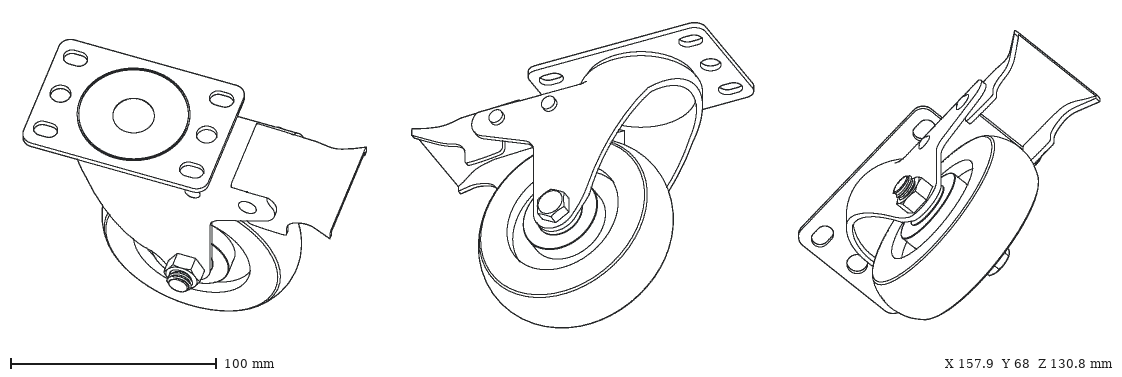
import math

import cadquery as cq


plate_top = 80.8
axle_x = 35.0

overrun = 1.6

plate_length = 95.0
plate_width = 65.0
plate_thickness = 3.0
plate_corner = 6.0
hole_x = 37.6
hole_diameter = 10.1
slot_y = 22.5
slot_length = 12.0
slot_width = 8.5
neck_radius = 27.5
neck_bottom = 74.0
groove_width = 0.8
groove_depth = 0.5
dish_radius = 21.3
dish_cone_radius = 17.5
dish_cone_drop = 0.5
dish_depth = 1.6
dish_floor_radius = 11.7
kingpin_radius = 10.1
kingpin_drop = 0.3
kingpin_round = 1.0

sheet = 3.0
skirt_radius = 30.0
skirt_top = neck_bottom
skirt_round = 0.8
web_top = 71.2
web_end_x = 64.7
step_top_radius = 29.4
step_foot_radius = 30.8
leg_inside = 19.7
leg_outside = leg_inside + sheet
skirt_blend = 12.6
web_edge_round = 2.4
arch_top_z = 67.3
arch_knee_x = -16.0
arch_knee_z = 54.8
leg_tip_x = axle_x + 0.5
leg_tip_z = 0.6
leg_tip_radius = 11.5
arm_angle = math.radians(23.4)
arm_corner = 7.9
nose_x = 71.7
nose_z = 63.5
nose_radius = 8.7

rivets = [(38.0, 62.5, 4.0, 1.0), (66.3, 63.0, 4.6, 1.5)]
rivet_dome = 1.7
rivet_tail_radius = 3.6
rivet_tail_height = 2.4

pedal_sheet = 2.4
pedal_half_width = leg_inside
pedal_top_line = [(56.8, 74.0), (87.6, 72.8), (106.0, 68.7), (110.4, 68.4)]
pedal_crease_round = 4.7
pedal_rear_x = pedal_top_line[0][0]
pedal_tip_x = pedal_top_line[-1][0]
pedal_tip_bottom = 63.3
pedal_edge_round = 2.0
flare_half_width = 27.6
flare_angle = math.radians(30)
flare_bend = 15.8
shoe_rear_x = 65.0
shoe_front_x = 85.5
shoe_bottom = 44.0
shoe_neck_z = 55.5
shoe_neck_round = 7.9
shoe_front_round = 1.3
shoe_heel_z = 45.6
shoe_heel_round = 3.0
shoe_flat_x = 80.5
shoe_arc_mid = (73.5, 44.5)

wheel_radius = 50.0
tread_half_width = 14.2
tread_edge_radius = 45.3
wheel_half_width = 15.0
wheel_face_radius = 44.2
recess_radius = 30.0
recess_floor = 8.5
hub_radius = 20.0
hub_half_width = 17.8
hub_chamfer = 0.3
collar_radius = 12.0
collar_half_width = 18.3

bolt_radius = 5.2
bolt_tip_y = -35.5
bolt_tip_chamfer = 0.5
head_height = 6.3
head_across_corners = 16.5
head_chamfer = 1.0
head_face_radius = 6.5
nut_height = 7.7
nut_across_flats = 16.1
nut_chamfer = 0.6
nut_face_radius = nut_across_flats / 2
nut_across_corners = nut_across_flats / math.cos(math.pi / 6)
thread_pitch = 2.0
thread_turns = 2.5
thread_start = 29.7
thread_height = 1.0
thread_root_width = 1.6
thread_bury = 0.3


def side_prism(sketch, half_width):
    """Extrude an XZ outline to both sides of the Y = 0 plane."""
    return sketch.extrude(half_width, both=True)


def round_corner(body, x, z, radius):
    """Round the edge along Y that passes through (x, z)."""
    return body.edges(cq.selectors.NearestToPointSelector((x, 0, z))).fillet(radius)



def make_plate():
    bottom = plate_top - plate_thickness
    plate = (
        cq.Workplane("XY", origin=(0, 0, bottom))
        .rect(plate_length, plate_width)
        .extrude(plate_thickness)
        .edges("|Z")
        .fillet(plate_corner)
    )
    holes = (
        cq.Workplane("XY", origin=(0, 0, bottom))
        .pushPoints([(-hole_x, 0), (hole_x, 0)])
        .circle(hole_diameter / 2)
        .extrude(plate_thickness)
    )
    slots = (
        cq.Workplane("XY", origin=(0, 0, bottom))
        .rect(2 * hole_x, 2 * slot_y, forConstruction=True)
        .vertices()
        .slot2D(slot_length, slot_width)
        .extrude(plate_thickness)
    )
    neck = cq.Workplane("XY", origin=(0, 0, neck_bottom)).circle(neck_radius).extrude(bottom - neck_bottom)
    groove = (
        cq.Workplane("XY", origin=(0, 0, plate_top - groove_depth))
        .circle(neck_radius)
        .circle(neck_radius - groove_width)
        .extrude(groove_depth)
    )
    dish = (
        cq.Workplane("XZ")
        .moveTo(0, plate_top)
        .lineTo(dish_radius, plate_top)
        .lineTo(dish_cone_radius, plate_top - dish_cone_drop)
        .lineTo(dish_floor_radius, plate_top - dish_depth)
        .lineTo(0, plate_top - dish_depth)
        .close()
        .revolve(360, (0, 0), (0, 1))
    )
    kingpin = (
        cq.Workplane("XY", origin=(0, 0, plate_top - dish_depth))
        .circle(kingpin_radius)
        .extrude(dish_depth - kingpin_drop)
        .faces(">Z")
        .edges()
        .fillet(kingpin_round)
    )
    return plate.cut(holes).cut(slots).union(neck).cut(groove).cut(dish).union(kingpin)



fork_low_z = leg_tip_z - leg_tip_radius - overrun
fork_reach_x = nose_x + nose_radius + overrun


def fork_plan():
    """Outer plan outline of the fork: round skirt blended into two parallel legs."""
    blend_x = math.sqrt((skirt_radius + skirt_blend) ** 2 - (leg_outside + skirt_blend) ** 2)
    blend_y = leg_outside + skirt_blend
    touch_x = blend_x * skirt_radius / (skirt_radius + skirt_blend)
    touch_y = blend_y * skirt_radius / (skirt_radius + skirt_blend)
    mid_angle = (math.pi / 2 + math.atan2(blend_y, blend_x)) / 2
    mid_x = blend_x - skirt_blend * math.cos(mid_angle)
    mid_y = blend_y - skirt_blend * math.sin(mid_angle)
    return (
        cq.Workplane("XY", origin=(0, 0, fork_low_z))
        .moveTo(fork_reach_x, leg_outside)
        .lineTo(blend_x, leg_outside)
        .threePointArc((mid_x, mid_y), (touch_x, touch_y))
        .threePointArc((-skirt_radius, 0), (touch_x, -touch_y))
        .threePointArc((mid_x, -mid_y), (blend_x, -leg_outside))
        .lineTo(fork_reach_x, -leg_outside)
        .close()
    )


def between_legs(start_x, bottom, top):
    """Block that fills the gap between the legs from start_x past the nose."""
    block = cq.Workplane("XY").box(
        fork_reach_x - start_x, 2 * leg_inside, top - bottom, centered=(False, True, False)
    )
    return block.translate((start_x, 0, bottom))


def fork_silhouette():
    """Side outline of the fork: raked front, rounded leg tip, arm rising to a round nose."""
    to_tip_x = leg_tip_x - arch_knee_x
    to_tip_z = leg_tip_z - arch_knee_z
    distance = math.hypot(to_tip_x, to_tip_z)
    rake = math.atan2(to_tip_z, to_tip_x) - math.asin(leg_tip_radius / distance)
    tangent_length = math.sqrt(distance ** 2 - leg_tip_radius ** 2)
    tip_start = (
        arch_knee_x + tangent_length * math.cos(rake),
        arch_knee_z + tangent_length * math.sin(rake),
    )
    leg_rear_x = leg_tip_x + leg_tip_radius
    nose_start_x = nose_x + nose_radius * math.sin(arm_angle)
    nose_start_z = nose_z - nose_radius * math.cos(arm_angle)
    arm_root_z = nose_start_z - (nose_start_x - leg_rear_x) * math.tan(arm_angle)
    nose_end_x = nose_x + math.sqrt(nose_radius ** 2 - (web_top - nose_z) ** 2)
    outline = (
        cq.Workplane("XZ")
        .moveTo(-skirt_radius, arch_top_z)
        .lineTo(arch_knee_x, arch_knee_z)
        .lineTo(*tip_start)
        .threePointArc((leg_tip_x, leg_tip_z - leg_tip_radius), (leg_rear_x, leg_tip_z))
        .lineTo(leg_rear_x, arm_root_z)
        .lineTo(nose_start_x, nose_start_z)
        .threePointArc((nose_x + nose_radius, nose_z), (nose_end_x, web_top))
        .lineTo(nose_end_x, skirt_top)
        .lineTo(-skirt_radius, skirt_top)
        .close()
    )
    return round_corner(side_prism(outline, skirt_radius), leg_rear_x, arm_root_z, arm_corner)


def make_rivet(x, z, head_radius, flat_radius):
    """Domed head on the -Y leg and plain round tail on the +Y leg."""
    sphere_radius = (head_radius ** 2 + rivet_dome ** 2) / (2 * rivet_dome)
    sphere_y = -leg_outside - rivet_dome + sphere_radius
    flat_y = sphere_y - math.sqrt(sphere_radius ** 2 - flat_radius ** 2)
    mid_radius = (head_radius + flat_radius) / 2
    mid_y = sphere_y - math.sqrt(sphere_radius ** 2 - mid_radius ** 2)
    head = (
        cq.Workplane("XY")
        .moveTo(0, -leg_outside)
        .lineTo(head_radius, -leg_outside)
        .threePointArc((mid_radius, mid_y), (flat_radius, flat_y))
        .lineTo(0, flat_y)
        .close()
        .revolve(360, (0, 0), (0, 1))
        .translate((x, 0, z))
    )
    tail = (
        cq.Workplane("XZ", origin=(x, leg_outside, z))
        .circle(rivet_tail_radius)
        .extrude(-rivet_tail_height)
    )
    return head, tail


def make_fork():
    shell = fork_plan().extrude(web_top - fork_low_z)
    shell = shell.faces(">Z").edges("|X").fillet(web_edge_round)
    skirt_cap = (
        cq.Workplane("XY", origin=(0, 0, web_top - sheet))
        .circle(skirt_radius)
        .extrude(skirt_top - web_top + sheet)
        .faces(">Z")
        .edges()
        .fillet(skirt_round)
    )
    step = (
        cq.Workplane("XZ")
        .moveTo(0, web_top)
        .lineTo(step_foot_radius, web_top)
        .lineTo(step_top_radius, skirt_top - skirt_round / 2)
        .lineTo(0, skirt_top - skirt_round / 2)
        .close()
        .revolve(360, (0, 0), (0, 1))
    )
    step = step.intersect(between_legs(0, web_top, skirt_top))

    leg_gap = between_legs(0, fork_low_z, web_top - sheet)
    skirt_cavity = (
        cq.Workplane("XY", origin=(0, 0, fork_low_z))
        .circle(skirt_radius - sheet)
        .extrude(skirt_top - sheet - fork_low_z)
    )
    pedal_opening = between_legs(web_end_x, fork_low_z, skirt_top)
    axle_hole = cq.Workplane("XZ", origin=(axle_x, 0, 0)).circle(bolt_radius).extrude(skirt_radius, both=True)

    fork = shell.union(skirt_cap).union(step).intersect(fork_silhouette())
    fork = fork.cut(leg_gap).cut(skirt_cavity).cut(pedal_opening).cut(axle_hole)
    for rivet in rivets:
        head, tail = make_rivet(*rivet)
        fork = fork.union(head).union(tail)
    return fork



def pedal_plan(inset):
    """Plan outline of the pedal: parallel sides that bend outward to a flared tip."""
    half_width = pedal_half_width - inset
    tip_half_width = flare_half_width - inset / math.cos(flare_angle)
    bend_x = pedal_tip_x - (tip_half_width - half_width) / math.tan(flare_angle)
    bend = flare_bend + inset
    setback = bend * math.tan(flare_angle / 2)
    start_x = bend_x - setback
    mid_x = start_x + bend * math.sin(flare_angle / 2)
    mid_y = half_width + bend * (1 - math.cos(flare_angle / 2))
    end_x = bend_x + setback * math.cos(flare_angle)
    end_y = half_width + setback * math.sin(flare_angle)
    return (
        cq.Workplane("XY", origin=(0, 0, shoe_bottom))
        .moveTo(pedal_rear_x, half_width)
        .lineTo(start_x, half_width)
        .threePointArc((mid_x, mid_y), (end_x, end_y))
        .lineTo(pedal_tip_x, tip_half_width)
        .lineTo(pedal_tip_x, -tip_half_width)
        .lineTo(end_x, -end_y)
        .threePointArc((mid_x, -mid_y), (start_x, -half_width))
        .lineTo(pedal_rear_x, -half_width)
        .close()
    )


def under_top(drop):
    """Everything in the pedal's length that lies below its top line lowered by drop."""
    top = [(x, z - drop) for x, z in pedal_top_line]
    corners = [(pedal_rear_x, shoe_bottom)] + top + [(pedal_tip_x, shoe_bottom)]
    body = side_prism(cq.Workplane("XZ").polyline(corners).close(), flare_half_width + overrun)
    crease_x, crease_z = top[-2]
    return round_corner(body, crease_x, crease_z, pedal_crease_round)


def pedal_silhouette():
    """Side outline of the pedal with its brake shoe hanging below."""
    (rear_x, rear_z), (bend_x, bend_z) = pedal_top_line[:2]
    slope = (bend_z - rear_z) / (bend_x - rear_x)
    tongue_z = rear_z - pedal_sheet
    outline = (
        cq.Workplane("XZ")
        .moveTo(rear_x, rear_z)
        .lineTo(pedal_tip_x, rear_z)
        .lineTo(pedal_tip_x, pedal_tip_bottom)
        .lineTo(shoe_front_x, shoe_neck_z)
        .lineTo(shoe_front_x, shoe_bottom)
        .lineTo(shoe_flat_x, shoe_bottom)
        .threePointArc(shoe_arc_mid, (shoe_rear_x, shoe_heel_z))
        .lineTo(shoe_rear_x, tongue_z + slope * (shoe_rear_x - rear_x))
        .lineTo(rear_x, tongue_z)
        .close()
    )
    body = side_prism(outline, flare_half_width + overrun)
    body = round_corner(body, shoe_front_x, shoe_neck_z, shoe_neck_round)
    body = round_corner(body, shoe_front_x, shoe_bottom, shoe_front_round)
    return round_corner(body, shoe_rear_x, shoe_heel_z, shoe_heel_round)


def make_pedal():
    height = pedal_top_line[0][1] - shoe_bottom
    block = pedal_plan(0).extrude(height).intersect(under_top(0))
    lowest_top = pedal_top_line[-1][1]
    for side in (-1, 1):
        near_y = side * pedal_half_width / 2
        far_y = side * (flare_half_width + overrun)
        top_edges = cq.selectors.BoxSelector(
            (pedal_rear_x, near_y, lowest_top - overrun), (pedal_tip_x + overrun, far_y, plate_top)
        )
        block = block.edges(top_edges).fillet(pedal_edge_round)
    hollow = pedal_plan(pedal_sheet).extrude(height).intersect(under_top(pedal_sheet))
    return block.cut(hollow).intersect(pedal_silhouette())



def make_wheel():
    """Wheel with a crowned tread, side recesses and a wide hub, turned about the axle."""
    return (
        cq.Workplane("XY")
        .moveTo(bolt_radius, -collar_half_width)
        .lineTo(collar_radius, -collar_half_width)
        .lineTo(collar_radius, -hub_half_width)
        .lineTo(hub_radius - hub_chamfer, -hub_half_width)
        .lineTo(hub_radius, hub_chamfer - hub_half_width)
        .lineTo(hub_radius, -recess_floor)
        .lineTo(recess_radius, -recess_floor)
        .lineTo(recess_radius, -wheel_half_width)
        .lineTo(wheel_face_radius, -wheel_half_width)
        .lineTo(tread_edge_radius, -tread_half_width)
        .threePointArc((wheel_radius, 0), (tread_edge_radius, tread_half_width))
        .lineTo(wheel_face_radius, wheel_half_width)
        .lineTo(recess_radius, wheel_half_width)
        .lineTo(recess_radius, recess_floor)
        .lineTo(hub_radius, recess_floor)
        .lineTo(hub_radius, hub_half_width - hub_chamfer)
        .lineTo(hub_radius - hub_chamfer, hub_half_width)
        .lineTo(collar_radius, hub_half_width)
        .lineTo(collar_radius, collar_half_width)
        .lineTo(bolt_radius, collar_half_width)
        .close()
        .revolve(360, (0, 0), (0, 1))
        .translate((axle_x, 0, 0))
    )



def hexagon(across_corners, start, height, chamfer, face_radius, turn):
    """Hexagonal prism along +Z whose corners are turned off conically at the far end."""
    prism = (
        cq.Workplane("XY", origin=(0, 0, start))
        .polygon(6, across_corners)
        .extrude(height)
        .rotate((0, 0, 0), (0, 0, 1), turn)
    )
    corner_radius = across_corners / 2
    envelope = (
        cq.Workplane("XZ")
        .moveTo(0, start)
        .lineTo(corner_radius, start)
        .lineTo(corner_radius, start + height - chamfer)
        .lineTo(face_radius, start + height)
        .lineTo(0, start + height)
        .close()
        .revolve(360, (0, 0), (0, 1))
    )
    return prism.intersect(envelope)


def make_thread():
    """Helical ridge around the bolt end, built along +Z."""
    root = bolt_radius - thread_bury
    helix = cq.Wire.makeHelix(thread_pitch, thread_pitch * thread_turns, root)
    ridge = (
        cq.Workplane("XZ")
        .polyline(
            [
                (root, -thread_root_width / 2),
                (bolt_radius + thread_height, 0),
                (root, thread_root_width / 2),
            ]
        )
        .close()
        .sweep(cq.Workplane(helix), isFrenet=True)
    )
    return ridge.translate((0, 0, thread_start))


def make_bolt():
    """Bolt and nut as one body, built along +Z with the nut up and then laid along -Y."""
    shank_length = leg_outside - bolt_tip_y
    shank = (
        cq.Workplane("XY", origin=(0, 0, -leg_outside))
        .circle(bolt_radius)
        .extrude(shank_length)
        .faces(">Z")
        .chamfer(bolt_tip_chamfer)
    )
    nut = hexagon(nut_across_corners, leg_outside, nut_height, nut_chamfer, nut_face_radius, 0)
    head = hexagon(head_across_corners, leg_outside, head_height, head_chamfer, head_face_radius, 30)
    head = head.rotate((0, 0, 0), (1, 0, 0), 180)
    bolt = shank.union(make_thread()).union(nut).union(head)
    return bolt.rotate((0, 0, 0), (1, 0, 0), 90).translate((axle_x, 0, 0))


plate = make_plate()
fork = make_fork()
pedal = make_pedal()
wheel = make_wheel()
bolt = make_bolt()

result = cq.Compound.makeCompound([plate.val(), fork.val(), pedal.val(), wheel.val(), bolt.val()])